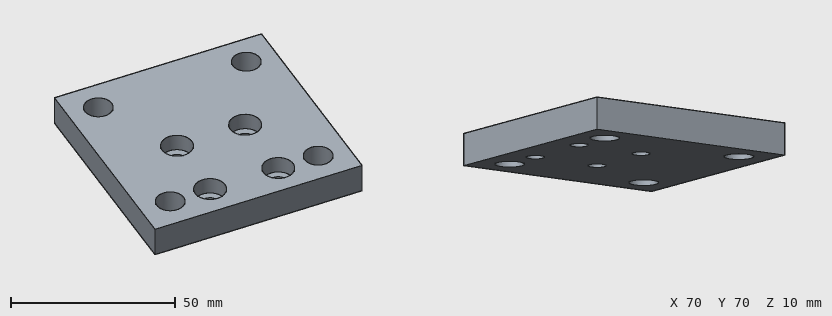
import cadquery as cq

side = 70.0
thickness = 10.0

corner_hole_diameter = 9.0
corner_hole_offset = 25.0

screw_hole_diameter = 5.5
counterbore_diameter = 10.0
counterbore_depth = 5.7
screw_pitch = 23.0
screw_pattern_x = corner_hole_offset - screw_pitch / 2

plate = cq.Workplane("XY").box(side, side, thickness, centered=(True, True, False))

with_corner_holes = (
    plate.faces(">Z")
    .workplane(origin=(0, 0, 0))
    .rect(2 * corner_hole_offset, 2 * corner_hole_offset, forConstruction=True)
    .vertices()
    .hole(corner_hole_diameter)
)

result = (
    with_corner_holes.faces(">Z")
    .workplane(origin=(screw_pattern_x, 0, 0))
    .rect(screw_pitch, screw_pitch, forConstruction=True)
    .vertices()
    .cboreHole(screw_hole_diameter, counterbore_diameter, counterbore_depth)
)